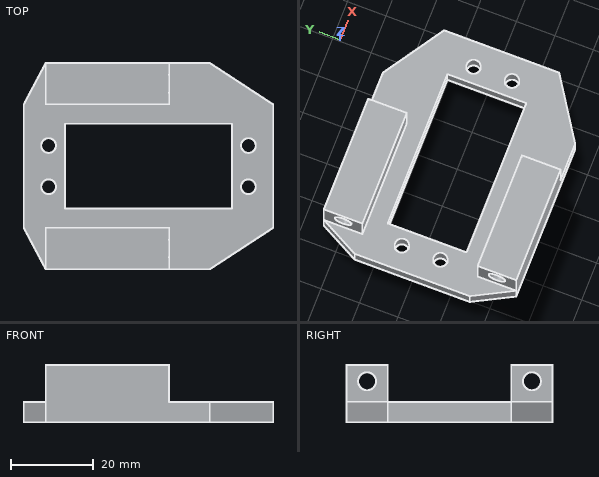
import cadquery as cq

length = 60.5
width = 50.0
plate_thickness = 5.0
corner_depth = 10.05
left_corner_run = 5.3
right_corner_run = 15.35

window_length = 40.35
window_width = 20.45

screw_diameter = 3.5
screw_spacing_x = 48.4
screw_spacing_y = 10.0

total_height = 14.0
rail_length = 29.95
rail_width = corner_depth
bore_diameter = 4.3
bore_height = 10.0

half_length = length / 2
half_width = width / 2
rail_start = left_corner_run - half_length
rail_center_y = half_width - rail_width / 2


def make_plate():
    """Eight-sided plate with its window and four screw holes."""
    shoulder = half_width - corner_depth
    right_corner = half_length - right_corner_run
    outline = [
        (-half_length, -shoulder),
        (rail_start, -half_width),
        (right_corner, -half_width),
        (half_length, -shoulder),
        (half_length, shoulder),
        (right_corner, half_width),
        (rail_start, half_width),
        (-half_length, shoulder),
    ]
    plate = cq.Workplane("XY").polyline(outline).close().extrude(plate_thickness)
    window = cq.Workplane("XY").rect(window_length, window_width).extrude(plate_thickness)
    screws = (
        cq.Workplane("XY")
        .rect(screw_spacing_x, screw_spacing_y, forConstruction=True)
        .vertices()
        .circle(screw_diameter / 2)
        .extrude(plate_thickness)
    )
    return plate.cut(window).cut(screws)


def make_rail(center_y):
    """Rectangular rail rising from the underside, centred on center_y."""
    return (
        cq.Workplane("XY", origin=(rail_start, center_y, 0))
        .box(rail_length, rail_width, total_height, centered=(False, True, False))
    )


def make_bore(center_y):
    """Cylinder running the full length of a rail."""
    return (
        cq.Workplane("YZ", origin=(rail_start, center_y, bore_height))
        .circle(bore_diameter / 2)
        .extrude(rail_length)
    )


result = make_plate()
for rail_y in (-rail_center_y, rail_center_y):
    result = result.union(make_rail(rail_y)).cut(make_bore(rail_y))